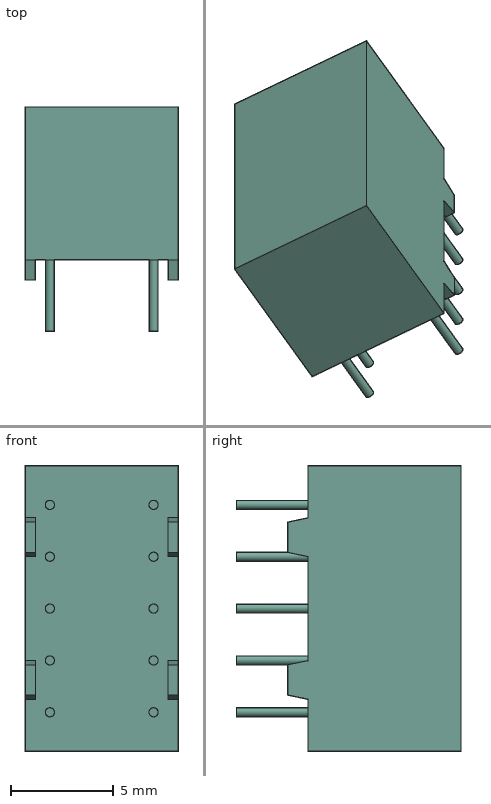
import cadquery as cq

body_width = 7.5
body_depth = body_width
body_height = 14

pin_diameter = 0.45
pin_length = 3.5
column_spacing = 5.08
pin_columns = 2
pins_per_column = 5
pin_pitch = column_spacing / 2

foot_width = 0.5
foot_projection = 1.0
foot_root_height = 1.9
foot_tip_height = 1.48
foot_spacing_z = 7
foot_spacing_x = body_width - foot_width


def make_body():
    """Block centred on X and Z, extending from the pin face toward +Y."""
    return cq.Workplane("XY").box(body_width, body_depth, body_height, centered=(True, False, True))


def make_pins():
    return (
        cq.Workplane("XZ")
        .rarray(column_spacing, pin_pitch, pin_columns, pins_per_column)
        .circle(pin_diameter / 2)
        .extrude(pin_length)
    )


def make_foot(x_center, z_center):
    """Trapezoid in the YZ plane, narrowing toward its tip, extruded along X."""
    root_half = foot_root_height / 2
    tip_half = foot_tip_height / 2
    return (
        cq.Workplane("YZ")
        .polyline([
            (0, -root_half),
            (-foot_projection, -tip_half),
            (-foot_projection, tip_half),
            (0, root_half),
        ])
        .close()
        .extrude(foot_width / 2, both=True)
        .translate((x_center, 0, z_center))
    )


result = make_body().union(make_pins())
for x_side in (-1, 1):
    for z_side in (-1, 1):
        foot = make_foot(x_side * foot_spacing_x / 2, z_side * foot_spacing_z / 2)
        result = result.union(foot)